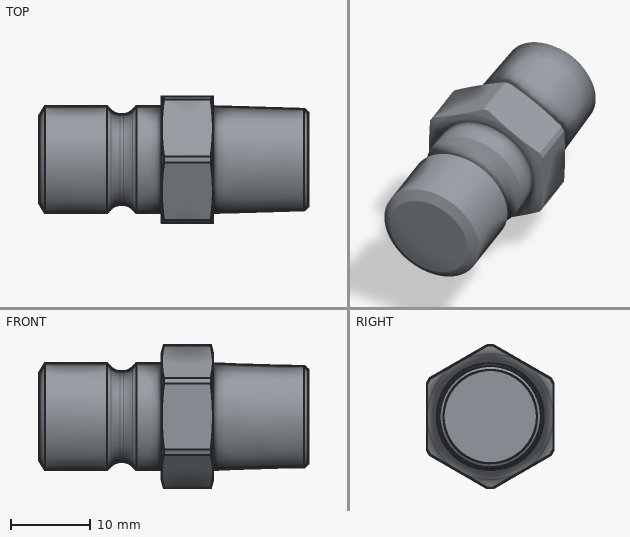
import cadquery as cq
import math

length = 34.0
body_radius = 13.5 / 2

plug_face_radius = 11.0 / 2
plug_chamfer_length = 0.75

groove_start = 8.55
groove_floor_radius = 11.5 / 2
groove_floor_width = 0.45
groove_fillet = 1.6
groove_wall_angle = math.radians(45)

hex_start = 15.47
hex_width = 6.5
hex_end = hex_start + hex_width
across_flats = 16.0
across_corners = 18.05
hex_face_radius = 15.9 / 2
hex_chamfer_angle = math.radians(15)

taper_base_radius = body_radius
taper_tip_radius = 12.82 / 2
tip_chamfer = 0.5


def make_turned_body():
    """Revolve the plug, groove and tapered end about the X axis."""
    arc_length = groove_fillet * math.sin(groove_wall_angle)
    arc_height = groove_fillet * (1 - math.cos(groove_wall_angle))
    wall_height = body_radius - groove_floor_radius - arc_height
    wall_length = wall_height / math.tan(groove_wall_angle)

    half_angle = groove_wall_angle / 2
    mid_length = groove_fillet * math.sin(half_angle)
    mid_radius = groove_floor_radius + groove_fillet * (1 - math.cos(half_angle))
    arc_top_radius = groove_floor_radius + arc_height

    floor_start = groove_start + wall_length + arc_length
    floor_end = floor_start + groove_floor_width
    groove_end = floor_end + arc_length + wall_length

    profile = (
        cq.Workplane("XY")
        .lineTo(0, plug_face_radius)
        .lineTo(plug_chamfer_length, body_radius)
        .lineTo(groove_start, body_radius)
        .lineTo(floor_start - arc_length, arc_top_radius)
        .threePointArc((floor_start - mid_length, mid_radius), (floor_start, groove_floor_radius))
        .lineTo(floor_end, groove_floor_radius)
        .threePointArc((floor_end + mid_length, mid_radius), (floor_end + arc_length, arc_top_radius))
        .lineTo(groove_end, body_radius)
        .lineTo(hex_end, taper_base_radius)
        .lineTo(length - tip_chamfer, taper_tip_radius)
        .lineTo(length, taper_tip_radius - tip_chamfer)
        .lineTo(length, 0)
        .close()
    )
    return profile.revolve(360, (0, 0, 0), (1, 0, 0))


def make_hex():
    """Hexagon with flats facing +Y and -Y, trimmed by a chamfered round blank."""
    corner_radius = across_corners / 2
    chamfer_length = (corner_radius - hex_face_radius) * math.tan(hex_chamfer_angle)
    blank = (
        cq.Workplane("XY")
        .moveTo(hex_start, 0)
        .lineTo(hex_start, hex_face_radius)
        .lineTo(hex_start + chamfer_length, corner_radius)
        .lineTo(hex_end - chamfer_length, corner_radius)
        .lineTo(hex_end, hex_face_radius)
        .lineTo(hex_end, 0)
        .close()
        .revolve(360, (0, 0, 0), (1, 0, 0))
    )
    prism = (
        cq.Workplane("YZ", origin=(hex_start, 0, 0))
        .polygon(6, across_flats, circumscribed=True)
        .extrude(hex_width)
    )
    return prism.intersect(blank)


result = make_turned_body().union(make_hex())